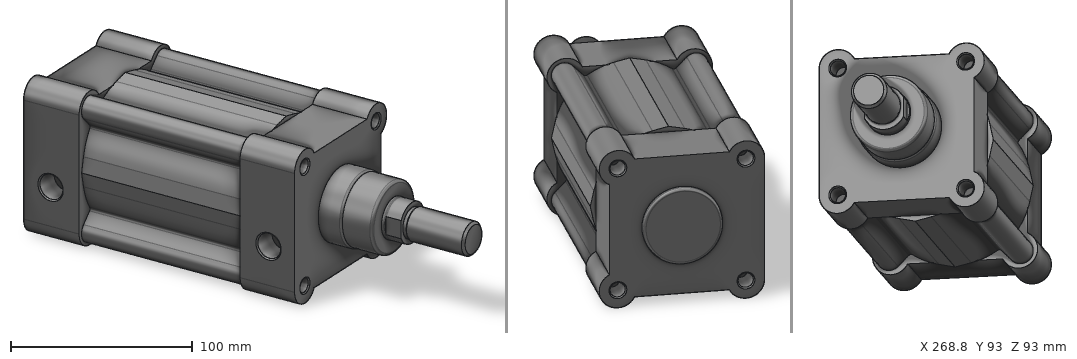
import cadquery as cq
import math


rear_face_x = 3.5
rear_cap_end_x = 40.0
head_start_x = 145.75
head_face_x = 181.5
gland_base_end_x = 197.0
gland_end_x = 216.4
rod_shoulder_x = 217.9
wrench_flat_start_x = 218.6
neck_start_x = 228.4
thread_start_x = 231.3
rod_end_x = 268.8

cap_size = 93.0
screw_spacing = 72.0
screw_offset = screw_spacing / 2
cap_lobe_radius = cap_size / 2 - screw_offset
waist_offset = 40.8

screw_hole_diameter = 8.5
screw_mouth_diameter = 10.0
screw_hole_depth = 16.0

port_diameter = 15.0
port_mouth_diameter = 16.6
port_depth = 15.0
port_z = -12.4
rear_port_x = 21.3
head_port_x = 164.4

rear_boss_diameter = 45.0

gland_base_diameter = 45.0
gland_nose_diameter = 43.4

step_fillet = 1.6

barrel_radius = 43.0
tube_half_size = 44.0
tube_lobe_radius = 7.0
tube_lobe_offset = tube_half_size - tube_lobe_radius
lobe_root_fillet = 1.7

rod_diameter = 25.0
wrench_diameter = 24.6
wrench_flat_width = 22.0
neck_diameter = 18.5
thread_diameter = 20.0
thread_end_chamfer = 1.5


def along_x(start_x):
    """Workplane normal to X with local axes (Y, Z)."""
    return cq.Workplane("YZ", origin=(start_x, 0, 0))


def revolved(points):
    """Solid of revolution about X through (x, radius) points, closed along the axis."""
    outline = [(points[0][0], 0), *points, (points[-1][0], 0)]
    return cq.Workplane("XY").polyline(outline).close().revolve(360, (0, 0, 0), (1, 0, 0))


def chamfered_hole(diameter, mouth_diameter, depth):
    """Cutter for a blind hole running from X = 0 toward +X, with a 45 degree mouth."""
    radius = diameter / 2
    mouth_radius = mouth_diameter / 2
    return revolved([(0, mouth_radius), (mouth_radius - radius, radius), (depth, radius)])


def cap_blank(start_x, end_x):
    """Cap body: waisted on three sides, flat on the port side, with a lobe at each corner."""
    length = end_x - start_x
    inner_block = along_x(start_x).rect(2 * waist_offset, 2 * waist_offset).extrude(length)
    port_pad = along_x(start_x).center(-cap_size / 4, 0).rect(cap_size / 2, screw_spacing).extrude(length)
    lobes = (
        along_x(start_x)
        .rect(screw_spacing, screw_spacing, forConstruction=True)
        .vertices()
        .circle(cap_lobe_radius)
        .extrude(length)
    )
    return inner_block.union(port_pad).union(lobes)


def cut_screw_holes(cap, face_x, turn):
    """Four screw holes entering the cap at face_x; turn = 0 drills toward +X, 180 toward -X."""
    drill = chamfered_hole(screw_hole_diameter, screw_mouth_diameter, screw_hole_depth)
    drill = drill.rotate((0, 0, 0), (0, 0, 1), turn)
    for y in (-screw_offset, screw_offset):
        for z in (-screw_offset, screw_offset):
            cap = cap.cut(drill.translate((face_x, y, z)))
    return cap


def cut_port(cap, port_x):
    """Air port entering the flat -Y side."""
    drill = chamfered_hole(port_diameter, port_mouth_diameter, port_depth)
    drill = drill.rotate((0, 0, 0), (0, 0, 1), 90)
    return cap.cut(drill.translate((port_x, -cap_size / 2, port_z)))


def make_rear_cap():
    cap = cap_blank(rear_face_x, rear_cap_end_x)
    cap = cut_screw_holes(cap, rear_face_x, 0)
    cap = cut_port(cap, rear_port_x)
    boss = along_x(0).circle(rear_boss_diameter / 2).extrude(rear_face_x)
    boss = boss.faces("<X").edges().fillet(step_fillet)
    return cap.union(boss)


def make_head():
    """Front cap together with the stepped gland that guides the rod."""
    cap = cap_blank(head_start_x, head_face_x)
    cap = cut_screw_holes(cap, head_face_x, 180)
    cap = cut_port(cap, head_port_x)
    base_radius = gland_base_diameter / 2
    nose_radius = gland_nose_diameter / 2
    base_length = gland_base_end_x - head_face_x
    gland_length = gland_end_x - head_face_x
    gland_base = along_x(head_face_x).circle(base_radius).extrude(base_length)
    gland_base = gland_base.faces(">X").edges().fillet(step_fillet)
    gland_nose = along_x(head_face_x).circle(nose_radius).extrude(gland_length)
    gland_nose = gland_nose.faces(">X").edges().fillet(step_fillet)
    return cap.union(gland_base).union(gland_nose)


def make_tube():
    length = head_start_x - rear_cap_end_x
    barrel = along_x(rear_cap_end_x).circle(barrel_radius).extrude(length)

    flank_angle = math.acos(barrel_radius / tube_half_size)
    tangent_offset = barrel_radius * math.sin(flank_angle)
    tangent_height = barrel_radius * math.cos(flank_angle)
    ridge = (
        along_x(rear_cap_end_x)
        .moveTo(0, 0)
        .lineTo(tangent_offset, tangent_height)
        .lineTo(0, tube_half_size)
        .lineTo(-tangent_offset, tangent_height)
        .close()
        .extrude(length)
    )

    tip_distance = tube_lobe_offset * math.sqrt(2)
    lobe = (
        along_x(rear_cap_end_x)
        .center(0, tip_distance / 2)
        .rect(2 * tube_lobe_radius, tip_distance)
        .extrude(length)
        .union(along_x(rear_cap_end_x).center(0, tip_distance).circle(tube_lobe_radius).extrude(length))
    )

    tube = barrel
    for quarter in range(4):
        tube = tube.union(lobe.rotate((0, 0, 0), (1, 0, 0), 90 * quarter + 45))
    tube_middle_x = rear_cap_end_x + length / 2
    root_angle = math.asin(tube_lobe_radius / barrel_radius)
    for quarter in range(4):
        for side in (-1, 1):
            angle = math.radians(90 * quarter + 45) + side * root_angle
            root = (tube_middle_x, barrel_radius * math.cos(angle), barrel_radius * math.sin(angle))
            tube = tube.edges("|X").edges(cq.selectors.NearestToPointSelector(root)).fillet(lobe_root_fillet)

    for quarter in range(4):
        tube = tube.union(ridge.rotate((0, 0, 0), (1, 0, 0), 90 * quarter))
    return tube


def make_rod():
    rod_radius = rod_diameter / 2
    wrench_radius = wrench_diameter / 2
    neck_radius = neck_diameter / 2
    thread_radius = thread_diameter / 2
    neck_chamfer = thread_radius - neck_radius
    rod = revolved(
        [
            (gland_end_x, rod_radius),
            (rod_shoulder_x, rod_radius),
            (wrench_flat_start_x, wrench_radius),
            (neck_start_x, wrench_radius),
            (neck_start_x, neck_radius),
            (thread_start_x - neck_chamfer, neck_radius),
            (thread_start_x, thread_radius),
            (rod_end_x - thread_end_chamfer, thread_radius),
            (rod_end_x, thread_radius - thread_end_chamfer),
        ]
    )
    flat_length = neck_start_x - wrench_flat_start_x
    flat_depth = rod_radius - wrench_flat_width / 2
    for side in (-1, 1):
        flat_y = side * (wrench_flat_width + flat_depth) / 2
        flat_x = wrench_flat_start_x + flat_length / 2
        flat_cutter = cq.Workplane("XY").box(flat_length, flat_depth, rod_diameter)
        rod = rod.cut(flat_cutter.translate((flat_x, flat_y, 0)))
    return rod


rear_cap = make_rear_cap()
tube = make_tube()
head = make_head()
piston_rod = make_rod()

result = cq.Compound.makeCompound([rear_cap.val(), tube.val(), head.val(), piston_rod.val()])